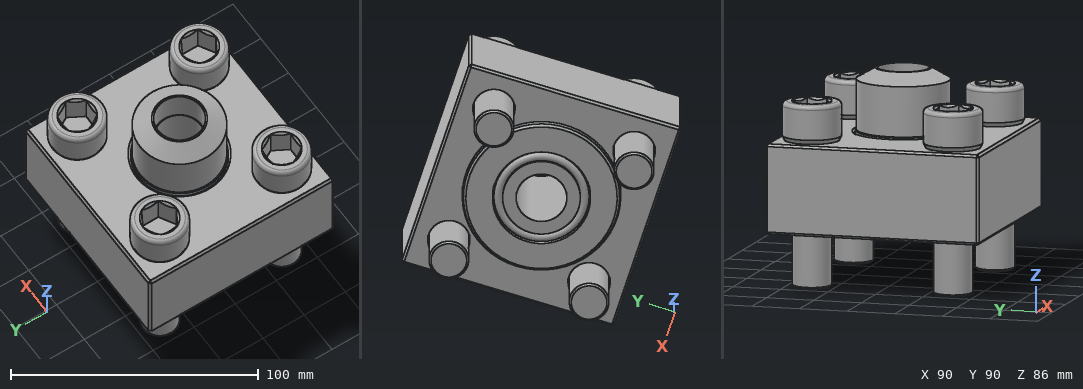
import cadquery as cq
import math


plate_side = 90.0
plate_height = 37.0
plate_edge_chamfer = 1.0
neck_hole_diameter = 39.5
neck_hole_chamfer = 1.0
counterbore_diameter = 64.0
counterbore_depth = 16.0
clearance_hole_diameter = 17.0

screw_spacing = 59.4
shank_diameter = 16.0
shank_length = 60.0
shank_tip_chamfer = 0.8
head_diameter = 24.0
head_height = 16.0
head_top_fillet = 1.8
head_underside_taper_height = 1.8
head_underside_taper_width = 0.9
socket_across_corners = 16.2
socket_depth = 12.0
socket_lead_in_depth = 1.8

overall_height = 86.0
pipe_diameter = 38.25
bore_diameter = 20.4
mouth_bore_diameter = 20.9
mouth_bore_depth = 13.3
weld_face_diameter = 22.4
weld_bevel_angle = 30.0
neck_diameter = 39.0
neck_shoulder_height = 0.8
collar_diameter = 63.0
collar_protrusion = 2.3
collar_chamfer = 1.0

groove_inner_diameter = 31.3
groove_outer_diameter = 39.5
seal_inner_diameter = groove_inner_diameter
seal_outer_diameter = 38.4
seal_protrusion = 0.5

screw_tip_z = plate_height - shank_length
nipple_top_z = screw_tip_z + overall_height
collar_face_z = -collar_protrusion
seal_section_radius = (seal_outer_diameter - seal_inner_diameter) / 4
seal_centre_radius = (seal_outer_diameter + seal_inner_diameter) / 4
seal_centre_z = collar_face_z - seal_protrusion + seal_section_radius
groove_top_z = seal_centre_z + seal_section_radius


def revolved(profile):
    """Revolve (radius, z) points around the Z axis."""
    return cq.Workplane("XZ").polyline(profile).close().revolve(360, (0, 0, 0), (0, 1, 0))


def cylinder(diameter, bottom_z, top_z):
    return cq.Workplane("XY").workplane(offset=bottom_z).circle(diameter / 2).extrude(top_z - bottom_z)


def make_plate():
    block = cq.Workplane("XY").box(plate_side, plate_side, plate_height, centered=(True, True, False))
    plate = block.edges().chamfer(plate_edge_chamfer)
    plate = plate.cut(cylinder(neck_hole_diameter, 0, plate_height))
    plate = plate.cut(cylinder(counterbore_diameter, 0, counterbore_depth))

    hole_radius = neck_hole_diameter / 2
    mouth = revolved([
        (0, plate_height),
        (hole_radius + neck_hole_chamfer, plate_height),
        (hole_radius, plate_height - neck_hole_chamfer),
        (0, plate_height - neck_hole_chamfer),
    ])
    plate = plate.cut(mouth)

    screw_holes = (
        cq.Workplane("XY")
        .rect(screw_spacing, screw_spacing, forConstruction=True)
        .vertices()
        .circle(clearance_hole_diameter / 2)
        .extrude(plate_height)
    )
    return plate.cut(screw_holes)


def make_nipple():
    pipe_radius = pipe_diameter / 2
    neck_radius = neck_diameter / 2
    bore_radius = bore_diameter / 2
    mouth_radius = mouth_bore_diameter / 2
    mouth_floor_z = nipple_top_z - mouth_bore_depth
    weld_face_radius = weld_face_diameter / 2
    collar_radius = collar_diameter / 2
    bevel_height = (pipe_radius - weld_face_radius) * math.tan(math.radians(weld_bevel_angle))
    shoulder_z = plate_height + neck_shoulder_height
    nipple = revolved([
        (bore_radius, collar_face_z),
        (collar_radius - collar_chamfer, collar_face_z),
        (collar_radius, collar_face_z + collar_chamfer),
        (collar_radius, counterbore_depth),
        (neck_radius, counterbore_depth),
        (neck_radius, shoulder_z - (neck_radius - pipe_radius)),
        (pipe_radius, shoulder_z),
        (pipe_radius, nipple_top_z - bevel_height),
        (weld_face_radius, nipple_top_z),
        (mouth_radius, nipple_top_z),
        (mouth_radius, mouth_floor_z),
        (bore_radius, mouth_floor_z),
    ])
    groove = cylinder(groove_outer_diameter, collar_face_z, groove_top_z)
    groove = groove.cut(cylinder(groove_inner_diameter, collar_face_z, groove_top_z))
    return nipple.cut(groove)


def make_seal():
    return (
        cq.Workplane("XZ")
        .center(seal_centre_radius, seal_centre_z)
        .circle(seal_section_radius)
        .revolve(360, (-seal_centre_radius, 0, 0), (-seal_centre_radius, 1, 0))
    )


def make_screw():
    """Cap screw on the Z axis, with its head resting on the plate and two socket corners along X."""
    head_radius = head_diameter / 2
    head_top_z = plate_height + head_height
    head = revolved([
        (0, plate_height),
        (head_radius - head_underside_taper_width, plate_height),
        (head_radius, plate_height + head_underside_taper_height),
        (head_radius, head_top_z),
        (0, head_top_z),
    ])
    head = head.faces(">Z").edges().fillet(head_top_fillet)

    shank = cylinder(shank_diameter, screw_tip_z, plate_height)
    shank = shank.faces("<Z").edges().chamfer(shank_tip_chamfer)

    socket = (
        cq.Workplane("XY")
        .workplane(offset=head_top_z)
        .polygon(6, socket_across_corners)
        .extrude(-socket_depth)
    )
    socket_radius = socket_across_corners / 2
    lead_in = revolved([
        (0, head_top_z),
        (socket_radius, head_top_z),
        (socket_radius - socket_lead_in_depth, head_top_z - socket_lead_in_depth),
        (0, head_top_z - socket_lead_in_depth),
    ])
    return head.union(shank).cut(socket).cut(lead_in)


def make_screws():
    """Four screws, each turned a further quarter turn around the nipple axis."""
    screw = make_screw().translate((screw_spacing / 2, screw_spacing / 2, 0))
    return [screw.rotate((0, 0, 0), (0, 0, 1), 90 * corner) for corner in range(4)]


plate = make_plate()
nipple = make_nipple()
seal = make_seal()
screws = make_screws()

result = cq.Compound.makeCompound([
    plate.val(),
    nipple.val(),
    seal.val(),
    *[screw.val() for screw in screws],
])